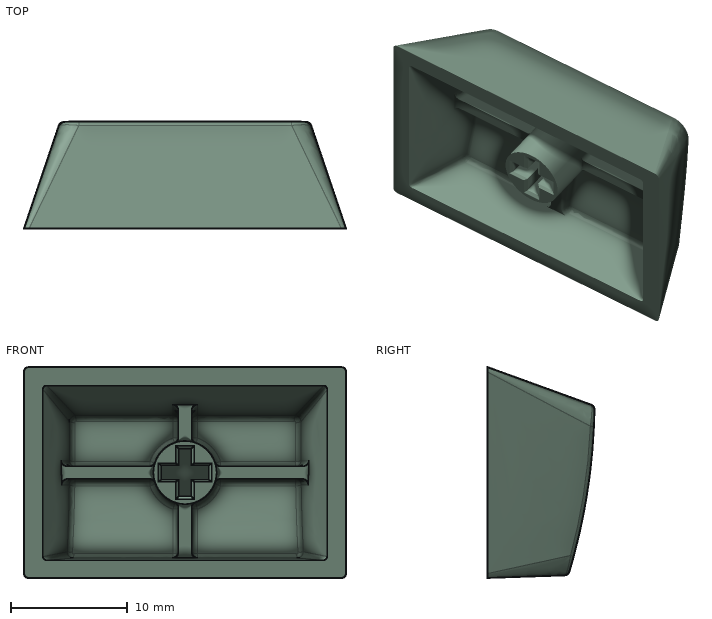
import cadquery as cq


rim_width = 27.62
rim_height = 18.1
rim_corner_radius = 0.41
back_corner_radius = 1.93
back_edge_radius = 0.5
back_arc = [(9.2, 6.9), (8.8, 0.0), (6.57, -9.95)]
body_end_top = (9.95, 5.45, 10.52)
body_end_bottom = (7.87, -8.78, 10.63)

mouth_width = 24.35
mouth_top = 7.45
mouth_bottom = -7.5
mouth_corner_radius = 0.33
ceiling_corner_radius = 0.55
ceiling_edge_radius = 0.5
ceiling_arc = [(7.57, 6.08), (6.4, -2.57), (5.03, -8.29)]
cavity_end_top = (8.29, 4.47, 9.55)
cavity_end_bottom = (5.8, -7.26, 9.8)

stem_radius = 2.7
stem_front = 0.83
rib_front = 4.55
level_rib_width = 1.08
upright_rib_width = 1.13

arm_length = 4.1
level_arm_width = 1.25
upright_arm_width = 1.08
mouth_arm_length = 4.6
mouth_arm_width = 1.6
bevel_depth = 0.22
socket_depth = 4.0

reach = 2 * rim_width
tolerance = 0.03


def rounded_wire(corners, radius):
    """Closed planar outline through the corners, with every corner rounded."""
    wire = cq.Wire.makePolygon([cq.Vector(*corner) for corner in corners], close=True)
    return wire.fillet2D(radius, wire.Vertices())


def tapered_block(width, top, bottom, end_top, end_bottom, start_radius, end_radius):
    """Straight-lined loft from a rectangle at y = 0 to a tilted trapezoid."""
    half = width / 2
    y_top, z_top, half_top = end_top
    y_bottom, z_bottom, half_bottom = end_bottom
    start = [
        (-half, 0, bottom),
        (half, 0, bottom),
        (half, 0, top),
        (-half, 0, top),
    ]
    end = [
        (-half_bottom, y_bottom, z_bottom),
        (half_bottom, y_bottom, z_bottom),
        (half_top, y_top, z_top),
        (-half_top, y_top, z_top),
    ]
    wires = [rounded_wire(start, start_radius), rounded_wire(end, end_radius)]
    return cq.Workplane(cq.Solid.makeLoft(wires, True))


def in_front_of(arc):
    """Everything on the -Y side of a cylindrical surface whose YZ section is the arc."""
    first, middle, last = arc
    return (
        cq.Workplane("YZ")
        .moveTo(-reach, reach)
        .lineTo(first[0], reach)
        .lineTo(*first)
        .threePointArc(middle, last)
        .lineTo(last[0], -reach)
        .lineTo(-reach, -reach)
        .close()
        .extrude(reach, both=True)
    )


def bar(x_size, z_size, y_front, depth):
    """Box centred on the Y axis that runs from y_front towards +Y."""
    return cq.Workplane("XZ", origin=(0, y_front, 0)).rect(x_size, z_size).extrude(-depth)


def body():
    block = tapered_block(
        rim_width, rim_height / 2, -rim_height / 2,
        body_end_top, body_end_bottom,
        rim_corner_radius, back_corner_radius,
    )
    block = block.intersect(in_front_of(back_arc))
    return block.faces(">Y").edges().fillet(back_edge_radius)


def is_inner_edge(edge):
    """True for edges below the rib fronts that do not start at the cavity mouth."""
    bounds = edge.BoundingBox()
    return bounds.ymin > tolerance and bounds.ymax > rib_front + tolerance


def cavity():
    """Hollow space around the stem and ribs, rounded where these meet the ceiling and walls."""
    space = tapered_block(
        mouth_width, mouth_top, mouth_bottom,
        cavity_end_top, cavity_end_bottom,
        mouth_corner_radius, ceiling_corner_radius,
    )
    space = space.intersect(in_front_of(ceiling_arc))

    level_rib = bar(reach, level_rib_width, rib_front, reach)
    upright_rib = bar(upright_rib_width, reach, rib_front, reach)
    stem = cq.Workplane("XZ", origin=(0, stem_front, 0)).circle(stem_radius).extrude(-reach)
    space = space.cut(level_rib.union(upright_rib)).cut(stem)

    inner_edges = [edge for edge in space.edges().vals() if is_inner_edge(edge)]
    return space.newObject(inner_edges).fillet(ceiling_edge_radius)


def socket_arm(x_size, z_size, x_mouth, z_mouth):
    """One bar of the cross, widened by a bevel at the front of the stem."""
    bevel = (
        cq.Workplane("XZ", origin=(0, stem_front, 0))
        .rect(x_mouth, z_mouth)
        .workplane(offset=-bevel_depth)
        .rect(x_size, z_size)
        .loft(ruled=True)
    )
    return bar(x_size, z_size, stem_front, socket_depth).union(bevel)


def socket():
    level_arm = socket_arm(arm_length, level_arm_width, mouth_arm_length, mouth_arm_width)
    upright_arm = socket_arm(upright_arm_width, arm_length, mouth_arm_width, mouth_arm_length)
    return level_arm.union(upright_arm)


result = body().cut(cavity()).cut(socket())